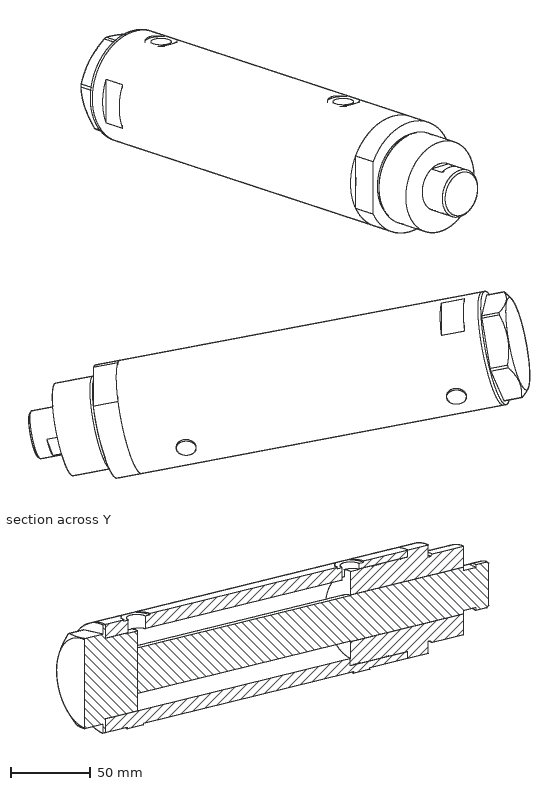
import cadquery as cq
import math

CAP_FLANGE_X = 14.5
BARREL_START_X = 16.5
CAP_SPIGOT_END_X = 41.8
GLAND_SPIGOT_X = 208.3
BARREL_END_X = 253.2
GLAND_FLANGE_END_X = 269.5
NOSE_START_X = 271.0
NOSE_END_X = 297.0
ROD_FLAT_END_X = 306.5
ROD_END_X = 316.5

OUTER_RADIUS = 73.0 / 2
BORE_RADIUS = 27.0
FLAT_POCKET_X = 26.0
FLAT_POCKET_LENGTH = 15.2
FLAT_POCKET_WIDTH = 67.0

PORT_XS = (41.0, 208.3)
PORT_DIAMETER = 13.0
SPOT_FACE_DIAMETER = 20.3
SPOT_FACE_DEPTH = 1.0

BOSS_XS = (40.2, 217.0)
BOSS_DIAMETER = 12.7
BOSS_HEIGHT = 1.0

HEX_ACROSS_FLATS = 60.0
HEX_CORNER_RADIUS = 34.2
HEX_FACE_RADIUS = 29.8
HEX_CHAMFER_LENGTH = 3.2
HEX_TURN = -8.5

GLAND_SPIGOT_RADIUS = 31.5
GLAND_FLAT_WIDTH = 64.3
NECK_RADIUS = 28.5
NOSE_RADIUS = 59.8 / 2
NOSE_CHAMFER = 1.3

ROD_RADIUS = 15.5
ROD_FLAT_WIDTH = 27.2
ROD_CHAMFER = 1.3


def cylinder(radius, start_x, end_x):
    """Solid cylinder on the X axis between two stations."""
    return cq.Workplane("YZ", origin=(start_x, 0, 0)).circle(radius).extrude(end_x - start_x)


def slab(start_x, end_x, y_width, z_width):
    """Box centred on the X axis between two stations."""
    center_x = (start_x + end_x) / 2
    return cq.Workplane("XY", origin=(center_x, 0, 0)).box(end_x - start_x, y_width, z_width)


def vertical_cylinder(x, diameter, bottom_z, top_z):
    """Solid cylinder along Z that crosses the X axis at x."""
    return cq.Workplane("XY", origin=(x, 0, bottom_z)).circle(diameter / 2).extrude(top_z - bottom_z)


def make_barrel():
    outside = cylinder(OUTER_RADIUS, BARREL_START_X, BARREL_END_X)

    pocket_end_x = FLAT_POCKET_X + FLAT_POCKET_LENGTH
    pocket_band = cylinder(OUTER_RADIUS, FLAT_POCKET_X, pocket_end_x)
    pocket_core = slab(FLAT_POCKET_X, pocket_end_x, FLAT_POCKET_WIDTH, 2 * OUTER_RADIUS)
    barrel = outside.cut(pocket_band.cut(pocket_core))

    boss_bottom_z = -OUTER_RADIUS - BOSS_HEIGHT
    for x in BOSS_XS:
        barrel = barrel.union(vertical_cylinder(x, BOSS_DIAMETER, boss_bottom_z, -BORE_RADIUS))

    spot_face_z = OUTER_RADIUS - SPOT_FACE_DEPTH
    for x in PORT_XS:
        barrel = barrel.cut(vertical_cylinder(x, SPOT_FACE_DIAMETER, spot_face_z, OUTER_RADIUS))
        barrel = barrel.cut(vertical_cylinder(x, PORT_DIAMETER, 0, OUTER_RADIUS))

    barrel = barrel.cut(cylinder(BORE_RADIUS, BARREL_START_X, BARREL_END_X))
    return barrel.cut(cylinder(GLAND_SPIGOT_RADIUS, GLAND_SPIGOT_X, BARREL_END_X))


def make_cap():
    across_corners = HEX_ACROSS_FLATS / math.cos(math.pi / 6)
    prism = cq.Workplane("YZ").polygon(6, across_corners).extrude(CAP_FLANGE_X)
    prism = prism.rotate((0, 0, 0), (1, 0, 0), HEX_TURN)

    envelope = (
        cq.Workplane("XY")
        .polyline([
            (0, 0),
            (0, HEX_FACE_RADIUS),
            (HEX_CHAMFER_LENGTH, HEX_CORNER_RADIUS),
            (CAP_FLANGE_X, HEX_CORNER_RADIUS),
            (CAP_FLANGE_X, 0),
        ])
        .close()
        .revolve(360, (0, 0, 0), (1, 0, 0))
    )
    head = prism.intersect(envelope)
    flange = cylinder(OUTER_RADIUS, CAP_FLANGE_X, BARREL_START_X)
    spigot = cylinder(BORE_RADIUS, BARREL_START_X, CAP_SPIGOT_END_X)
    return head.union(flange).union(spigot)


def make_gland():
    flange = cylinder(OUTER_RADIUS, BARREL_END_X, GLAND_FLANGE_END_X)
    flange = flange.intersect(slab(BARREL_END_X, GLAND_FLANGE_END_X, GLAND_FLAT_WIDTH, 2 * OUTER_RADIUS))
    spigot = cylinder(GLAND_SPIGOT_RADIUS, GLAND_SPIGOT_X, BARREL_END_X)
    neck = cylinder(NECK_RADIUS, GLAND_FLANGE_END_X, NOSE_START_X)
    nose = cylinder(NOSE_RADIUS, NOSE_START_X, NOSE_END_X).faces("<X").chamfer(NOSE_CHAMFER)
    rod_hole = cylinder(ROD_RADIUS, GLAND_SPIGOT_X, NOSE_END_X)
    return flange.union(spigot).union(neck).union(nose).cut(rod_hole)


def make_rod():
    rod = cylinder(ROD_RADIUS, CAP_SPIGOT_END_X, ROD_END_X).faces(">X").chamfer(ROD_CHAMFER)
    flat_band = cylinder(ROD_RADIUS, NOSE_END_X, ROD_FLAT_END_X)
    flat_core = slab(NOSE_END_X, ROD_FLAT_END_X, 2 * ROD_RADIUS, ROD_FLAT_WIDTH)
    return rod.cut(flat_band.cut(flat_core))


barrel = make_barrel()
cap = make_cap()
gland = make_gland()
rod = make_rod()

result = cq.Compound.makeCompound([barrel.val(), cap.val(), gland.val(), rod.val()])